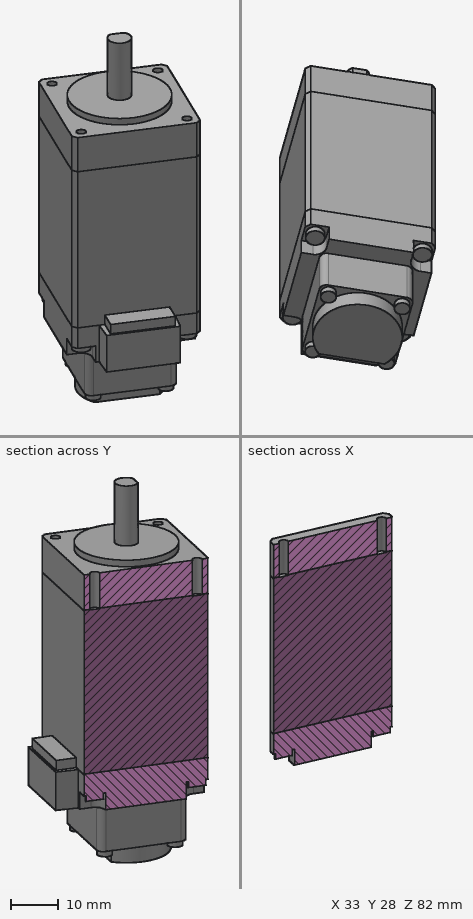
import cadquery as cq


encoder_bottom = 3.7
cover_bottom = 13.6
cover_top = 22.2
flange_bottom = 59.0
flange_top = 67.1
pilot_top = 68.55
shaft_top = 82.0

frame_width = 28.0
frame_chamfer = 1.0

pilot_diameter = 22.0
mount_hole_diameter = 2.05
screw_spacing = 23.05

shaft_diameter = 5.1
flat_length = 10.0
flat_depth = 0.5

notch_height = 3.8
notch_radius = 2.5
cover_screw_diameter = 4.0
cover_screw_height = 1.3

encoder_width = 20.0
encoder_corner_radius = 1.55
boss_diameter = 18.8
boss_flat_x = 6.15
encoder_screw_spacing = 15.8
encoder_screw_diameter = 3.3
encoder_screw_height = 1.4

connector_depth = 5.0
connector_root_width = 16.6
connector_end_width = 16.1
header_depth = 4.5
header_width = 14.1
header_height = 2.2


def plane_at(height):
    """Horizontal work plane at the given height, centred on the motor axis."""
    return cq.Workplane("XY").workplane(offset=height)


def frame_block(bottom, top):
    """Square length of the motor frame with chamfered upright corners."""
    block = plane_at(bottom).rect(frame_width, frame_width).extrude(top - bottom)
    return block.edges("|Z").chamfer(frame_chamfer)


def corner_cylinders(spacing, diameter, bottom, height):
    """Four upright cylinders centred on the corners of a square."""
    corners = plane_at(bottom).rect(spacing, spacing, forConstruction=True).vertices()
    return corners.circle(diameter / 2).extrude(height)


def make_flange():
    """Front flange with its round pilot and four mounting holes."""
    pilot = plane_at(flange_top).circle(pilot_diameter / 2).extrude(pilot_top - flange_top)
    holes = corner_cylinders(screw_spacing, mount_hole_diameter, flange_bottom, flange_top - flange_bottom)
    return frame_block(flange_bottom, flange_top).union(pilot).cut(holes)


def make_shaft():
    """Output shaft standing on the pilot, with a flat along its upper end."""
    shaft = plane_at(pilot_top).circle(shaft_diameter / 2).extrude(shaft_top - pilot_top)
    flat_x = -shaft_diameter / 2 + flat_depth
    flat_cut = cq.Workplane("XY").box(
        shaft_diameter, shaft_diameter, flat_length, centered=(True, True, False)
    ).translate((flat_x - shaft_diameter / 2, 0, shaft_top - flat_length))
    return shaft.cut(flat_cut)


def make_stator():
    """Plain stator stack between the flange and the rear cover."""
    return frame_block(cover_top, flange_bottom)


def make_rear_cover():
    """Rear cover with a notch and a screw head at each lower corner."""
    notch_top = cover_bottom + notch_height
    notch_size = frame_width - screw_spacing + 2 * notch_radius
    notch_centre = screw_spacing / 2 - notch_radius + notch_size / 2
    notches = (
        plane_at(cover_bottom)
        .rect(2 * notch_centre, 2 * notch_centre, forConstruction=True)
        .vertices()
        .rect(notch_size, notch_size)
        .extrude(notch_height)
        .edges("|Z")
        .fillet(notch_radius)
    )
    screw_bottom = notch_top - cover_screw_height
    screws = corner_cylinders(screw_spacing, cover_screw_diameter, screw_bottom, cover_screw_height)
    return frame_block(cover_bottom, cover_top).cut(notches).union(screws)


def make_encoder():
    """Encoder housing with four screw heads and a flat-sided round boss underneath."""
    housing = (
        plane_at(encoder_bottom)
        .rect(encoder_width, encoder_width)
        .extrude(cover_bottom - encoder_bottom)
        .edges("|Z")
        .fillet(encoder_corner_radius)
    )
    boss = cq.Workplane("XY").circle(boss_diameter / 2).extrude(encoder_bottom)
    beyond_flat = cq.Workplane("XY").box(
        boss_diameter, boss_diameter, encoder_bottom, centered=(False, True, False)
    ).translate((boss_flat_x, 0, 0))
    screw_bottom = encoder_bottom - encoder_screw_height
    screws = corner_cylinders(
        encoder_screw_spacing, encoder_screw_diameter, screw_bottom, encoder_screw_height
    )
    return housing.union(boss.cut(beyond_flat)).union(screws)


def make_connector():
    """Connector block that narrows away from the frame, with a smaller header on top."""
    frame_side = frame_width / 2
    outer_side = frame_side + connector_depth
    block = (
        plane_at(cover_bottom)
        .polyline([
            (frame_side, -connector_root_width / 2),
            (outer_side, -connector_end_width / 2),
            (outer_side, connector_end_width / 2),
            (frame_side, connector_root_width / 2),
        ])
        .close()
        .extrude(cover_top - cover_bottom)
    )
    header = cq.Workplane("XY").box(
        header_depth, header_width, header_height, centered=(False, True, False)
    ).translate((frame_side, 0, cover_top))
    return block.union(header)


flange = make_flange()
shaft = make_shaft()
stator = make_stator()
rear_cover = make_rear_cover()
encoder = make_encoder()
connector = make_connector()

result = cq.Compound.makeCompound([
    flange.val(),
    shaft.val(),
    stator.val(),
    rear_cover.val(),
    encoder.val(),
    connector.val(),
])